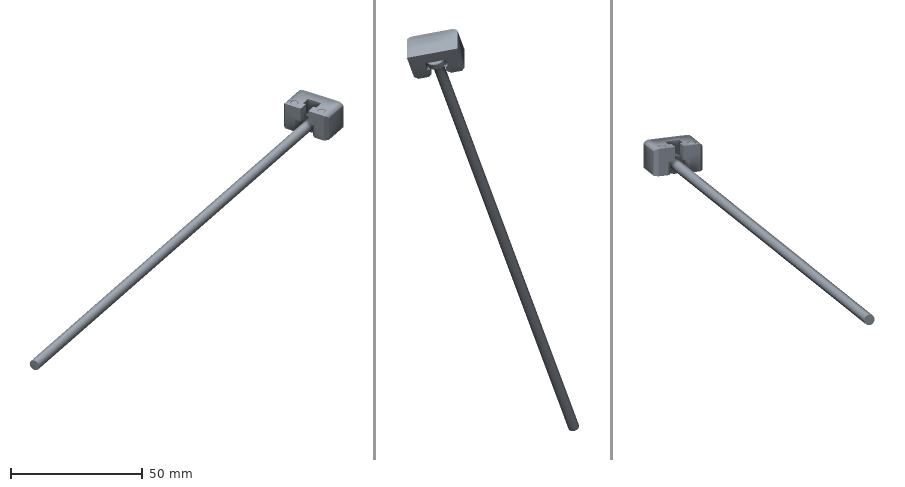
import cadquery as cq

block_width = 20.0
block_depth = 12.0
corner_chamfer = 1.38

base_height = 5.3
shim_thickness = 1.5
shim_count = 3
cover_thickness = 1.3
cover_top = base_height + shim_count * shim_thickness + cover_thickness
cover_round_width = 2.1

overall_length = 212.0
rod_radius = 2.1
rod_axis_z = 2.5
head_radius = 3.8
head_length = 3.2
head_rear_y = -4.9
head_front_y = head_rear_y - head_length
head_edge_chamfer = 0.32

pocket_clearance = 0.2
pocket_rear_y = head_rear_y + pocket_clearance
pocket_front_y = head_front_y - pocket_clearance
base_slot_width = 6.0
upper_slot_width = 3.4
base_pocket_width = 2 * (head_radius + pocket_clearance)
upper_pocket_width = 6.0

pin_radius = 1.6
pin_edge_chamfer = 0.32
pin_x = 6.05
pin_y = -9.5


def plate_blank(bottom_z, thickness):
    """Rectangular plate with its two front corners chamfered."""
    return (
        cq.Workplane("XY", origin=(0, -block_depth / 2, bottom_z))
        .rect(block_width, block_depth)
        .extrude(thickness)
        .edges("|Z and <Y")
        .chamfer(corner_chamfer)
    )


def opening(width, rear_y, front_y):
    """Cutter through the whole stack between two Y positions, centred on the rod."""
    return (
        cq.Workplane("XY")
        .center(0, (rear_y + front_y) / 2)
        .rect(width, rear_y - front_y)
        .extrude(cover_top)
    )


def pin_cylinders():
    """Plain cylinders through the whole stack, one for each pin."""
    return (
        cq.Workplane("XY")
        .pushPoints([(-pin_x, pin_y), (pin_x, pin_y)])
        .circle(pin_radius)
        .extrude(cover_top)
    )


def cut_openings(plate, slot_width, pocket_width):
    """Cut the rod slot, the head pocket and the pin holes out of a plate."""
    return (
        plate.cut(opening(slot_width, pocket_front_y, -block_depth))
        .cut(opening(pocket_width, pocket_rear_y, pocket_front_y))
        .cut(pin_cylinders())
    )


def make_base():
    """Bottom plate, with a wide rod slot that is chamfered at its mouth."""
    mouth_half_width = base_slot_width / 2
    mouth = (
        cq.Workplane("XY")
        .polyline([
            (-mouth_half_width - corner_chamfer, -block_depth),
            (mouth_half_width + corner_chamfer, -block_depth),
            (mouth_half_width, -block_depth + corner_chamfer),
            (-mouth_half_width, -block_depth + corner_chamfer),
        ])
        .close()
        .extrude(base_height)
    )
    return cut_openings(plate_blank(0, base_height), base_slot_width, base_pocket_width).cut(mouth)


def make_shim(index):
    """One of the equal thin plates between the base and the cover."""
    blank = plate_blank(base_height + index * shim_thickness, shim_thickness)
    return cut_openings(blank, upper_slot_width, upper_pocket_width)


def make_cover():
    """Top plate, whose sides are rounded by arcs tangent to its flat top."""
    bottom_z = cover_top - cover_thickness
    half_width = block_width / 2
    flat_half_width = half_width - cover_round_width
    round_radius = (cover_round_width**2 + cover_thickness**2) / (2 * cover_thickness)
    rounded = (
        cq.Workplane("XZ")
        .moveTo(-half_width, bottom_z)
        .radiusArc((-flat_half_width, cover_top), round_radius)
        .lineTo(flat_half_width, cover_top)
        .radiusArc((half_width, bottom_z), round_radius)
        .close()
        .extrude(block_depth)
    )
    blank = plate_blank(bottom_z, cover_thickness).intersect(rounded)
    return cut_openings(blank, upper_slot_width, upper_pocket_width)


def make_rod():
    """Rod and head, revolved about the rod axis."""
    return (
        cq.Workplane("YZ", origin=(0, 0, rod_axis_z))
        .moveTo(head_rear_y, 0)
        .lineTo(head_rear_y, head_radius - head_edge_chamfer)
        .lineTo(head_rear_y - head_edge_chamfer, head_radius)
        .lineTo(head_front_y + head_edge_chamfer, head_radius)
        .lineTo(head_front_y, head_radius - head_edge_chamfer)
        .lineTo(head_front_y, rod_radius)
        .lineTo(-overall_length, rod_radius)
        .lineTo(-overall_length, 0)
        .close()
        .revolve(360, (0, 0, 0), (1, 0, 0))
    )


def make_pins():
    """Pins flush with both faces of the stack, chamfered at the top."""
    return pin_cylinders().faces(">Z").edges().chamfer(pin_edge_chamfer).solids()


base = make_base()
shims = [make_shim(index) for index in range(shim_count)]
cover = make_cover()
rod = make_rod()
pins = make_pins()

result = cq.Compound.makeCompound([
    base.val(),
    *[shim.val() for shim in shims],
    cover.val(),
    rod.val(),
    *pins.vals(),
])